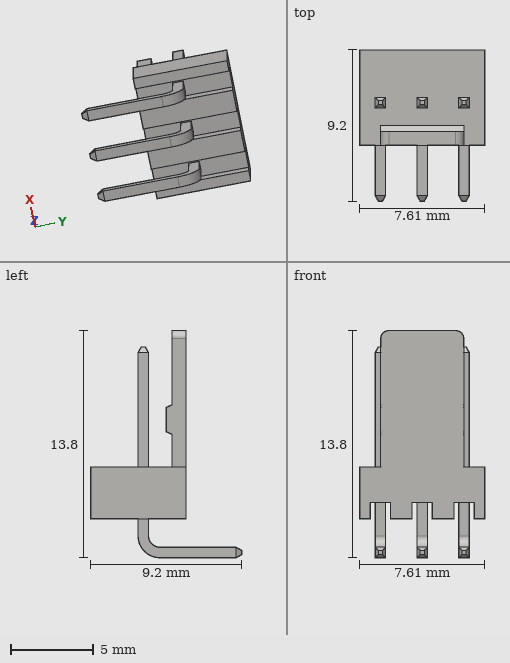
import cadquery as cq

body_width = 7.61
body_depth = 5.8
body_height = 3.16

slot_width = 1.22
slot_depth = 1.0

tab_width = 5.06
tab_thickness = 0.85
tab_height = 8.29
tab_corner_radius = 0.5

catch_bottom = 1.98
catch_top = 3.77
catch_projection = 0.35
catch_bevel_height = 0.15

pin_count = 3
pin_pitch = 2.54
pin_size = 0.65
pin_center_y = 2.6
pin_top_z = body_height + tab_height - 1.0
pin_bottom_z = -2.36
pin_front_y = -3.4
bend_inner_radius = 0.69
tip_length = 0.36
tip_flat_size = 0.25

pin_positions = [(i - (pin_count - 1) / 2) * pin_pitch for i in range(pin_count)]


def make_body():
    body = cq.Workplane("XY").box(body_width, body_depth, body_height, centered=(True, False, False))
    slot = cq.Workplane("XY").box(slot_width, body_depth, slot_depth, centered=(True, False, False))
    for x in pin_positions:
        body = body.cut(slot.translate((x, 0, 0)))
    return body


def make_tab():
    """Round-cornered tab with a bevelled catch ridge across its back."""
    plate = (
        cq.Workplane("XY", origin=(0, 0, body_height))
        .box(tab_width, tab_thickness, tab_height, centered=(True, False, False))
        .edges("|Y and >Z")
        .fillet(tab_corner_radius)
    )
    catch_back = tab_thickness + catch_projection
    catch = (
        cq.Workplane("YZ", origin=(0, 0, body_height))
        .polyline([
            (0, catch_bottom),
            (tab_thickness, catch_bottom),
            (catch_back, catch_bottom + catch_bevel_height),
            (catch_back, catch_top - catch_bevel_height),
            (tab_thickness, catch_top),
            (0, catch_top),
        ])
        .close()
        .extrude(tab_width / 2, both=True)
    )
    return plate.union(catch)


def make_tip(base_plane):
    """Square pyramid frustum that narrows along the plane normal."""
    return (
        cq.Workplane(base_plane)
        .rect(pin_size, pin_size)
        .workplane(offset=tip_length)
        .rect(tip_flat_size, tip_flat_size)
        .loft(ruled=True)
    )


def make_pin():
    """Pin on X = 0: vertical leg, quarter bend, horizontal leg and two tapered tips."""
    leg_center_z = pin_bottom_z + pin_size / 2
    bend_center_radius = bend_inner_radius + pin_size / 2
    vertical_end_z = pin_top_z - tip_length
    horizontal_end_y = pin_front_y + tip_length
    path = (
        cq.Workplane("YZ")
        .moveTo(pin_center_y, vertical_end_z)
        .lineTo(pin_center_y, leg_center_z + bend_center_radius)
        .radiusArc((pin_center_y - bend_center_radius, leg_center_z), bend_center_radius)
        .lineTo(horizontal_end_y, leg_center_z)
    )
    top_plane = cq.Plane(origin=(0, pin_center_y, vertical_end_z), xDir=(1, 0, 0), normal=(0, 0, 1))
    front_plane = cq.Plane(origin=(0, horizontal_end_y, leg_center_z), xDir=(1, 0, 0), normal=(0, -1, 0))
    shaft = cq.Workplane(top_plane).rect(pin_size, pin_size).sweep(path)
    return shaft.union(make_tip(top_plane)).union(make_tip(front_plane))


result = make_body().union(make_tab())
pin = make_pin()
for pin_x in pin_positions:
    result = result.union(pin.translate((pin_x, 0, 0)))